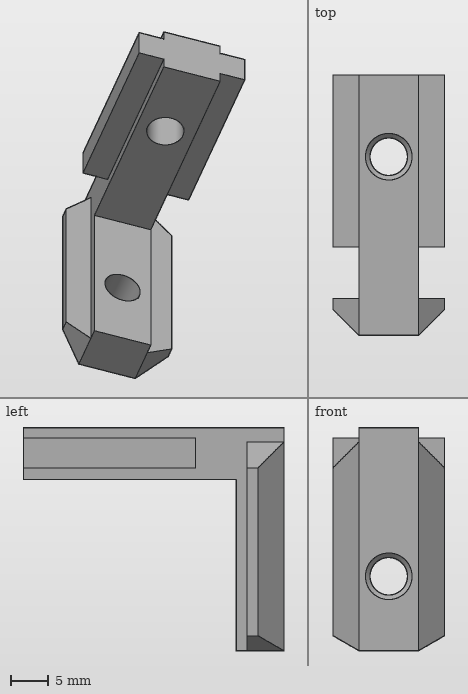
import cadquery as cq
import math

length = 35.0
height = 30.0
overall_width = 15.0
bar_width = 8.0
top_arm_thickness = 7.0
front_arm_thickness = 6.45
wing_width = (overall_width - bar_width) / 2
half_bar = bar_width / 2
half_width = overall_width / 2

top_wing_length = 23.15
top_wing_drop = 1.4
top_wing_thickness = 4.05

front_wing_depth = 4.97
front_wing_drop = 1.92
bottom_slope_angle = 30.0

hole_diameter = 5.0
countersink_diameter = 6.25
countersink_angle = 90.0
top_hole_from_end = 11.0
front_hole_from_bottom = 10.0


def make_body():
    """L profile extruded symmetrically across the bar width."""
    profile = [
        (0, 0),
        (front_arm_thickness, 0),
        (front_arm_thickness, height - top_arm_thickness),
        (length, height - top_arm_thickness),
        (length, height),
        (0, height),
    ]
    return cq.Workplane("YZ").polyline(profile).close().extrude(half_bar, both=True)


def make_top_wings():
    """One block across the bar, forming the wing on each side."""
    return cq.Workplane("XY").box(
        overall_width, top_wing_length, top_wing_thickness, centered=(True, False, False)
    ).translate((0, length - top_wing_length, height - top_wing_drop - top_wing_thickness))


def make_front_wings():
    """Plan section with 45 degree front flanks, trimmed by the sloped ends."""
    plan = [
        (-half_bar, 0),
        (half_bar, 0),
        (half_width, wing_width),
        (half_width, front_wing_depth),
        (-half_width, front_wing_depth),
        (-half_width, wing_width),
    ]
    wing_top = height - front_wing_drop
    bottom_rise = wing_width * math.tan(math.radians(bottom_slope_angle))
    elevation = [
        (-half_bar, 0),
        (half_bar, 0),
        (half_width, bottom_rise),
        (half_width, wing_top - wing_width),
        (half_bar, wing_top),
        (-half_bar, wing_top),
        (-half_width, wing_top - wing_width),
        (-half_width, bottom_rise),
    ]
    plan_prism = cq.Workplane("XY").polyline(plan).close().extrude(height)
    end_trim = cq.Workplane("XZ").polyline(elevation).close().extrude(-front_wing_depth)
    return plan_prism.intersect(end_trim)


def cut_hole(part, face, position):
    """Countersunk through hole entering the selected outer face."""
    return (
        part.faces(face)
        .workplane(origin=position)
        .cskHole(hole_diameter, countersink_diameter, countersink_angle)
    )


result = make_body().union(make_top_wings()).union(make_front_wings())
result = cut_hole(result, ">Z", (0, length - top_hole_from_end, height))
result = cut_hole(result, "<Y", (0, 0, front_hole_from_bottom))